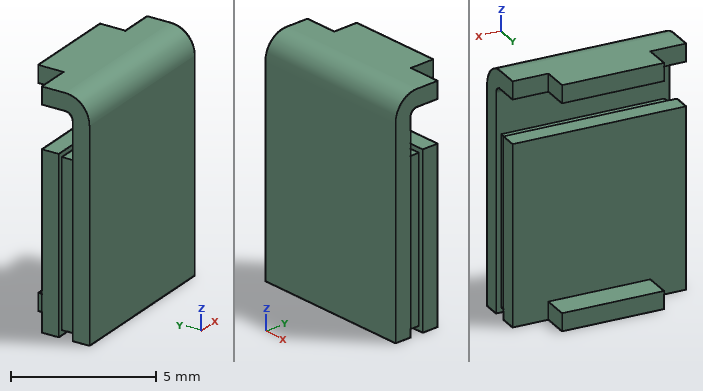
import cadquery as cq

width = 6.7
depth = 3.0
height = 9.4

sheet = 0.7
bend_outer_radius = 1.0
bend_inner_radius = bend_outer_radius - sheet
tab_width = 3.94
tab_length = 1.04
back_plate_height = 7.0

spacer_inset = 0.2

body_depth = depth - tab_length
back_plate_front = body_depth - sheet
spacer_thickness = back_plate_front - sheet


def block(size_x, size_y, size_z, front_y, bottom_z):
    """Box centred on X, with its front face and its underside at the given places."""
    box = cq.Workplane("XY").box(size_x, size_y, size_z, centered=(True, False, False))
    return box.translate((0, front_y, bottom_z))


def tab(bottom_z):
    """Narrow solder tab reaching back from the full-width body."""
    return block(tab_width, tab_length, sheet, body_depth, bottom_z)


def front_terminal():
    """Front plate bent back at the top into a flange that ends in a tab."""
    plate = block(width, sheet, height, 0, 0)
    flange = block(width, body_depth, sheet, 0, height - sheet)
    bent_sheet = plate.union(flange)
    bent_sheet = bent_sheet.edges("|X and <Y and >Z").fillet(bend_outer_radius)
    inner_corner = cq.selectors.NearestToPointSelector((0, sheet, height - sheet))
    bent_sheet = bent_sheet.edges("|X").edges(inner_corner).fillet(bend_inner_radius)
    return bent_sheet.union(tab(height - sheet))


def back_terminal():
    """Shorter back plate with a tab along its bottom edge."""
    plate = block(width, sheet, back_plate_height, back_plate_front, 0)
    return plate.union(tab(0))


def spacer():
    """Thin layer joining the plates."""
    return block(
        width - 2 * spacer_inset,
        spacer_thickness,
        back_plate_height - 2 * spacer_inset,
        sheet,
        spacer_inset,
    )


result = front_terminal().union(spacer()).union(back_terminal())